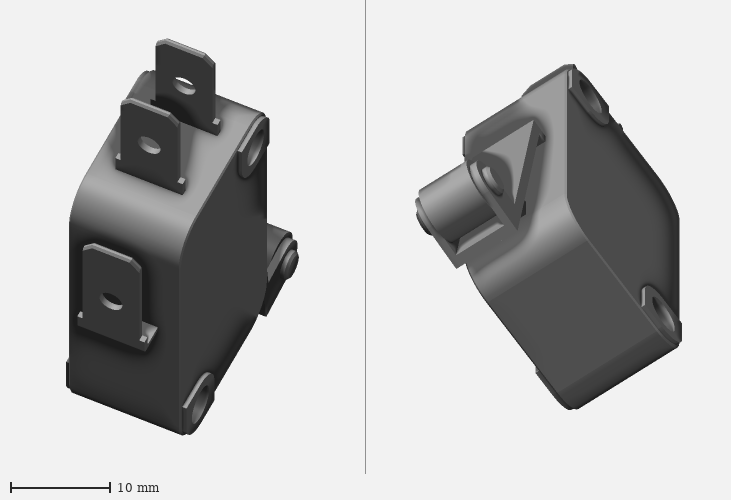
import cadquery as cq


CASE_WIDTH = 12.5
CASE_DEPTH = 20.35
CASE_HEIGHT = 35.4
CASE_CORNER_RADIUS = 4.0
CASE_EDGE_CHAMFER = 0.2

OVERALL_WIDTH = 13.45
MOUNT_Y = 6.45
MOUNT_Z = 14.1
MOUNT_HOLE_RADIUS = 2.0
PAD_WALL = 1.3
PAD_INSET = 0.3
SLOT_STRETCH = 0.3

BLADE_WIDTH = 6.35
BLADE_THICKNESS = 0.7
BASE_WIDTH = 7.5
TIP_CHAMFER = 1.0
TIP_BEVEL = 0.25
BLADE_HOLE_RADIUS = 1.3
TOP_TERMINAL_Y = 4.1
TOP_BASE_HEIGHT = 1.9
TOP_BLADE_LENGTH = 10.75
TOP_HOLE_DROP = 6.3
SIDE_TERMINAL_OUTER_Y = -13.3
SIDE_TERMINAL_BOTTOM = 1.6
SIDE_BASE_HEIGHT = 1.85
SIDE_BLADE_LENGTH = 13.0
SIDE_HOLE_DROP = 8.15
SIDE_FOOT_THICKNESS = 0.5
SIDE_BEND_RADIUS = 0.4

PLUNGER_Z = -11.6
PLUNGER_SIZE = 2.8
PLUNGER_TIP_Y = 12.85
PLUNGER_TIP_FILLET = 1.3

ROLLER_Y = 19.85
ROLLER_Z = -24.55
ROLLER_RADIUS = 3.15
ROLLER_WIDTH = 5.9
AXLE_RADIUS = 1.55
AXLE_LENGTH = 9.0
AXLE_CHAMFER = 0.3

LEVER_TILT = 7.7
LEVER_WIDTH = 7.5
LEVER_THICKNESS = 1.2
CHEEK_RADIUS = 2.55
ARM_OFFSET = 3.9
ARM_TOP = 27.8
TAB_LENGTH = 2.9

CASE_TOP = CASE_HEIGHT / 2
CASE_FRONT = -CASE_DEPTH / 2
CASE_BACK = CASE_DEPTH / 2
EMBED = 0.6


def along_x(width, y=0, z=0):
    """YZ sketch plane from which extruding by width gives a shape centred on X = 0."""
    return cq.Workplane("YZ", origin=(-width / 2, y, z))


def rounded_case_outline(width, inset=0):
    """Case-shaped prism, its outline drawn in by inset."""
    return (
        along_x(width)
        .rect(CASE_DEPTH - 2 * inset, CASE_HEIGHT - 2 * inset)
        .extrude(width)
        .edges("|X")
        .fillet(CASE_CORNER_RADIUS - inset)
    )


def make_mount_hole(side, stretch):
    """Through hole, lengthened along Z into a slot where stretch is not zero."""
    workplane = along_x(OVERALL_WIDTH, side * MOUNT_Y, side * MOUNT_Z)
    diameter = 2 * MOUNT_HOLE_RADIUS
    if stretch:
        return workplane.slot2D(diameter + stretch, diameter, 90).extrude(OVERALL_WIDTH)
    return workplane.circle(MOUNT_HOLE_RADIUS).extrude(OVERALL_WIDTH)


def make_pad(side, stretch):
    """Pads on both faces: square, with the corner facing the case centre rounded."""
    radius = MOUNT_HOLE_RADIUS + PAD_WALL
    pad = (
        along_x(OVERALL_WIDTH, side * MOUNT_Y, side * MOUNT_Z)
        .rect(2 * radius, 2 * radius + stretch)
        .extrude(OVERALL_WIDTH)
    )
    inner_corner = "<(0, 1, 1)" if side > 0 else ">(0, 1, 1)"
    pad = pad.edges("|X").edges(inner_corner).fillet(radius)
    return pad.intersect(rounded_case_outline(OVERALL_WIDTH, PAD_INSET))


def make_case():
    case = rounded_case_outline(CASE_WIDTH).faces("<X or >X").edges().chamfer(CASE_EDGE_CHAMFER)
    mounts = [(1, 0), (-1, SLOT_STRETCH)]
    for side, stretch in mounts:
        case = case.union(make_pad(side, stretch))
    for side, stretch in mounts:
        case = case.cut(make_mount_hole(side, stretch))
    return case


def make_blade(middle_y, bottom, shoulder, tip, hole_drop):
    """Upright flat terminal: wide base, narrower blade, clipped and bevelled tip, one hole."""
    back = middle_y + BLADE_THICKNESS / 2
    blade = (
        cq.Workplane("XZ", origin=(0, back, 0))
        .center(0, (bottom + tip) / 2)
        .rect(BLADE_WIDTH, tip - bottom)
        .extrude(BLADE_THICKNESS)
        .edges("|Y and >Z")
        .chamfer(TIP_CHAMFER)
    )
    tip_edges = cq.selectors.BoxSelector(
        (-BLADE_WIDTH, back - 2 * BLADE_THICKNESS, tip - TIP_CHAMFER),
        (BLADE_WIDTH, back + BLADE_THICKNESS, tip + TIP_CHAMFER),
    )
    blade = blade.faces("<Y or >Y").edges(tip_edges).chamfer(TIP_BEVEL)
    base = (
        cq.Workplane("XZ", origin=(0, back, 0))
        .center(0, (bottom + shoulder) / 2)
        .rect(BASE_WIDTH, shoulder - bottom)
        .extrude(BLADE_THICKNESS)
    )
    hole = (
        cq.Workplane("XZ", origin=(0, back, tip - hole_drop))
        .circle(BLADE_HOLE_RADIUS)
        .extrude(BLADE_THICKNESS)
    )
    return blade.union(base).cut(hole)


def make_top_terminal(y):
    shoulder = CASE_TOP + TOP_BASE_HEIGHT
    return make_blade(y, CASE_TOP - EMBED, shoulder, shoulder + TOP_BLADE_LENGTH, TOP_HOLE_DROP)


def make_side_terminal():
    """Terminal on the front of the case: a foot that bends up into a blade."""
    shoulder = SIDE_TERMINAL_BOTTOM + SIDE_BASE_HEIGHT
    inner_y = SIDE_TERMINAL_OUTER_Y + BLADE_THICKNESS
    foot_top = SIDE_TERMINAL_BOTTOM + SIDE_FOOT_THICKNESS
    blade = make_blade(
        SIDE_TERMINAL_OUTER_Y + BLADE_THICKNESS / 2,
        SIDE_TERMINAL_BOTTOM,
        shoulder,
        shoulder + SIDE_BLADE_LENGTH,
        SIDE_HOLE_DROP,
    )
    foot = (
        along_x(BASE_WIDTH)
        .moveTo(SIDE_TERMINAL_OUTER_Y, SIDE_TERMINAL_BOTTOM)
        .lineTo(CASE_FRONT + EMBED, SIDE_TERMINAL_BOTTOM)
        .lineTo(CASE_FRONT + EMBED, foot_top)
        .lineTo(inner_y + SIDE_BEND_RADIUS, foot_top)
        .radiusArc((inner_y, foot_top + SIDE_BEND_RADIUS), SIDE_BEND_RADIUS)
        .lineTo(SIDE_TERMINAL_OUTER_Y, foot_top + SIDE_BEND_RADIUS)
        .close()
        .extrude(BASE_WIDTH)
    )
    return blade.union(foot).edges("|X and <Y and <Z").fillet(SIDE_BEND_RADIUS)


def make_plunger():
    """Square bar whose tip is rounded off above and below."""
    root = CASE_BACK - EMBED
    return (
        along_x(PLUNGER_SIZE, (root + PLUNGER_TIP_Y) / 2, PLUNGER_Z)
        .rect(PLUNGER_TIP_Y - root, PLUNGER_SIZE)
        .extrude(PLUNGER_SIZE)
        .edges("|X and >Y")
        .fillet(PLUNGER_TIP_FILLET)
    )


def make_lever():
    """Arm with a tab into the case at its top and two cheeks for the roller at its bottom."""
    arm_outer = -ARM_OFFSET
    arm_inner = arm_outer - LEVER_THICKNESS
    arm = (
        along_x(LEVER_WIDTH)
        .moveTo(arm_outer, -CHEEK_RADIUS)
        .lineTo(arm_outer, ARM_TOP)
        .lineTo(arm_outer - TAB_LENGTH, ARM_TOP)
        .lineTo(arm_outer - TAB_LENGTH, ARM_TOP - LEVER_THICKNESS)
        .lineTo(arm_inner, ARM_TOP - LEVER_THICKNESS)
        .lineTo(arm_inner, -CHEEK_RADIUS)
        .close()
        .extrude(LEVER_WIDTH)
    )
    cheeks = (
        along_x(LEVER_WIDTH)
        .moveTo(arm_outer, -CHEEK_RADIUS)
        .lineTo(0, -CHEEK_RADIUS)
        .threePointArc((CHEEK_RADIUS, 0), (0, CHEEK_RADIUS))
        .lineTo(arm_outer, CHEEK_RADIUS)
        .close()
        .extrude(LEVER_WIDTH)
    )
    roller_gap = cq.Workplane("XY").box(ROLLER_WIDTH, 2 * ARM_OFFSET, 2 * ROLLER_RADIUS)
    axle_hole = along_x(LEVER_WIDTH).circle(AXLE_RADIUS).extrude(LEVER_WIDTH)
    lever = arm.union(cheeks.cut(roller_gap)).cut(axle_hole)
    return lever.rotate((0, 0, 0), (1, 0, 0), LEVER_TILT).translate((0, ROLLER_Y, ROLLER_Z))


def make_switch():
    switch = make_case()
    for y in (-TOP_TERMINAL_Y, TOP_TERMINAL_Y):
        switch = switch.union(make_top_terminal(y))
    return switch.union(make_side_terminal()).union(make_plunger()).union(make_lever())


def make_roller():
    """Roller and the chamfered axle that turns in the lever cheeks."""
    roller = along_x(ROLLER_WIDTH, ROLLER_Y, ROLLER_Z).circle(ROLLER_RADIUS).extrude(ROLLER_WIDTH)
    axle = along_x(AXLE_LENGTH, ROLLER_Y, ROLLER_Z).circle(AXLE_RADIUS).extrude(AXLE_LENGTH)
    return roller.union(axle.faces("<X or >X").edges().chamfer(AXLE_CHAMFER))


switch = make_switch()
roller = make_roller()
result = cq.Compound.makeCompound([switch.val(), roller.val()])